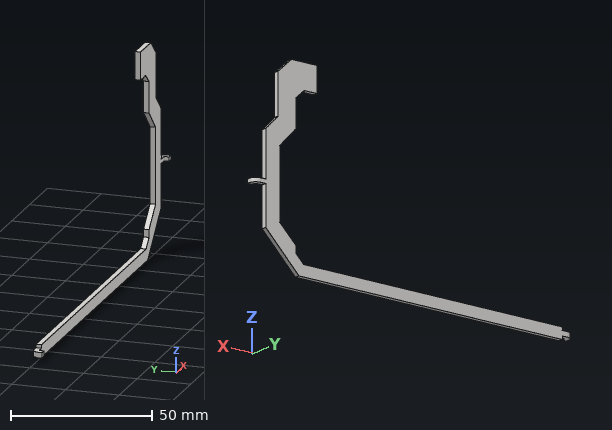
import cadquery as cq

length = 144.4
height = 79.9
depth = 4.0
sheet = 2.2

bend_inner = 0.6
bend_outer = bend_inner + sheet
left_tab_bottom = 1.3
left_tab_height = 2.2
right_tab_bottom = 31.3
right_tab_height = 1.7
tab_overlap = 0.7

bar_start = 4.9
bar_height = 4.8

column_inner = 132.7
column_outer = 139.2
lower_corner_height = 15.0
inner_bottom = 18.2
inner_top = 46.8
outer_top = 51.8

ledge_chamfer = 3.3
ledge_top = 11.0

neck_inner = 125.3
neck_outer = 133.5
neck_inner_bottom = 54.3
neck_outer_bottom = 57.5
head_left = 115.8
head_bottom = 69.3
head_chamfer_x = 6.0
head_chamfer_z = 5.6
throat_chamfer_x = 3.8
throat_chamfer_z = 3.3


def make_plate():
    """Flat hook-shaped sheet in the XZ plane."""
    outline = [
        (bar_start, 0),
        (column_outer - lower_corner_height, 0),
        (column_outer, lower_corner_height),
        (column_outer, outer_top),
        (neck_outer, neck_outer_bottom),
        (neck_outer, height - head_chamfer_z),
        (neck_outer - head_chamfer_x, height),
        (head_left, height),
        (head_left, head_bottom),
        (neck_inner - throat_chamfer_x, head_bottom),
        (neck_inner, head_bottom - throat_chamfer_z),
        (neck_inner, neck_inner_bottom),
        (column_inner, inner_top),
        (column_inner, inner_bottom),
        (neck_inner, ledge_top),
        (neck_inner, bar_height + ledge_chamfer),
        (neck_inner - ledge_chamfer, bar_height),
        (bar_start, bar_height),
    ]
    return cq.Workplane("XZ").polyline(outline).close().extrude(sheet)


def make_tab(root_x, bottom, tab_height):
    """Left-hand tab: runs out from the sheet, then bends a quarter turn toward -Y."""
    return (
        cq.Workplane("XY", origin=(0, 0, bottom))
        .moveTo(root_x, 0)
        .lineTo(bend_outer, 0)
        .radiusArc((0, -bend_outer), -bend_outer)
        .lineTo(0, -depth)
        .lineTo(sheet, -depth)
        .lineTo(sheet, -bend_outer)
        .radiusArc((bend_outer, -sheet), bend_inner)
        .lineTo(root_x, -sheet)
        .close()
        .extrude(tab_height)
    )


left_tab = make_tab(bar_start + tab_overlap, left_tab_bottom, left_tab_height)

right_root = length - column_outer + tab_overlap
right_tab = (
    make_tab(right_root, right_tab_bottom, right_tab_height)
    .mirror("YZ")
    .translate((length, 0, 0))
)

result = make_plate().union(left_tab).union(right_tab)